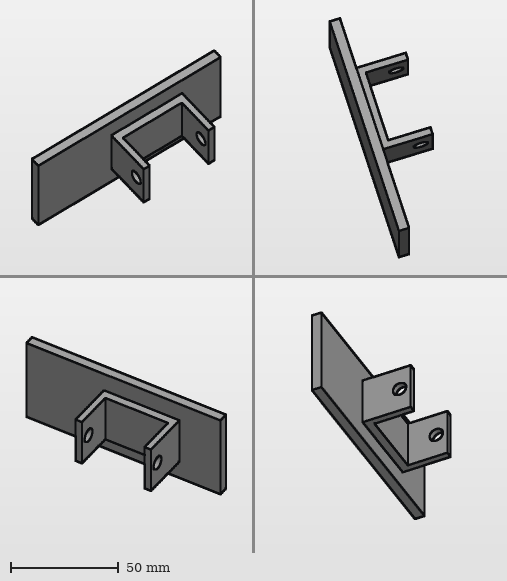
import cadquery as cq

plate_thickness = 5.0
plate_length = 106.09
plate_height = 44.69

overall_depth = 29.96
bracket_depth = overall_depth - plate_thickness
bracket_width = 41.2
bracket_height = 25.0
arm_thickness = 3.5
web_thickness = 4.4
bracket_center_y = 10.0
bracket_center_z = 0.0

hole_diameter = 6.8
hole_to_arm_tip = 5.8
hole_center_z = 0.4


def make_plate():
    """Panel with its outer face at X = 0, centred on Y and Z."""
    return cq.Workplane("XY").box(
        plate_thickness, plate_length, plate_height, centered=(False, True, True)
    )


def make_bracket():
    """Web against the plate with two arms reaching out along +X."""
    body = cq.Workplane("XY").box(
        bracket_depth, bracket_width, bracket_height, centered=(False, True, True)
    )
    gap_width = bracket_width - 2 * arm_thickness
    gap = (
        cq.Workplane("XY")
        .box(bracket_depth, gap_width, bracket_height, centered=(False, True, True))
        .translate((web_thickness, 0, 0))
    )
    return body.cut(gap).translate((plate_thickness, bracket_center_y, bracket_center_z))


def make_pin_hole():
    """Cylinder along Y that passes through both arms."""
    hole_x = overall_depth - hole_to_arm_tip
    return (
        cq.Workplane("XZ", origin=(hole_x, bracket_center_y, hole_center_z))
        .circle(hole_diameter / 2)
        .extrude(bracket_width, both=True)
    )


result = make_plate().union(make_bracket()).cut(make_pin_hole())